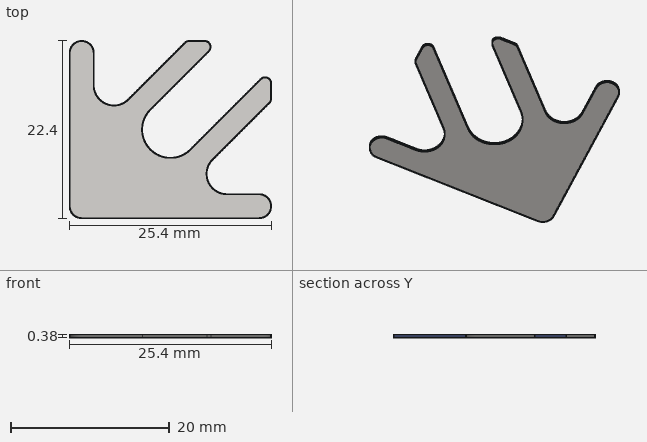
import cadquery as cq
import math

length = 25.4
width = 22.35
thickness = 0.38

arm_width = 3.05
arm_end_radius = arm_width / 2
corner_radius = 1.52

central_x = 12.7
central_y = 11.18
central_radius = 3.55
side_radius = 2.55
side_notch_depth = 5.6
tip_radius = 0.75

diagonal = math.sqrt(2)

notch_centre_offset = central_y - central_x
left_inner = notch_centre_offset + central_radius * diagonal
right_inner = notch_centre_offset - central_radius * diagonal
side_notch_offset = arm_width + side_radius
left_outer = (width - side_notch_depth) - side_notch_offset - side_radius * diagonal
right_outer = side_notch_offset - (length - side_notch_depth) + side_radius * diagonal

step = central_radius / diagonal
left_tangent = (central_x - step, central_y + step)
notch_bottom = (central_x - step, central_y - step)
right_tangent = (central_x + step, central_y - step)

plate = (
    cq.Workplane("XY")
    .lineTo(length - arm_end_radius, 0)
    .threePointArc((length, arm_end_radius), (length - arm_end_radius, arm_width))
    .lineTo(arm_width - right_outer, arm_width)
    .lineTo(length, length + right_outer)
    .lineTo(length, length + right_inner)
    .lineTo(*right_tangent)
    .threePointArc(notch_bottom, left_tangent)
    .lineTo(width - left_inner, width)
    .lineTo(width - left_outer, width)
    .lineTo(arm_width, arm_width + left_outer)
    .lineTo(arm_width, width - arm_end_radius)
    .threePointArc((arm_end_radius, width), (0, width - arm_end_radius))
    .close()
    .extrude(thickness)
)


def round_corners(body, points, radius):
    """Round the upright edges that stand at the given XY points."""
    for x, y in points:
        nearest = cq.selectors.NearestToPointSelector((x, y, thickness / 2))
        body = body.edges("|Z").edges(nearest).fillet(radius)
    return body


side_notch_corners = [
    (arm_width, arm_width + left_outer),
    (arm_width - right_outer, arm_width),
]
diagonal_tips = [
    (width - left_inner, width),
    (width - left_outer, width),
    (length, length + right_inner),
    (length, length + right_outer),
]

plate = round_corners(plate, [(0, 0)], corner_radius)
plate = round_corners(plate, side_notch_corners, side_radius)
result = round_corners(plate, diagonal_tips, tip_radius)